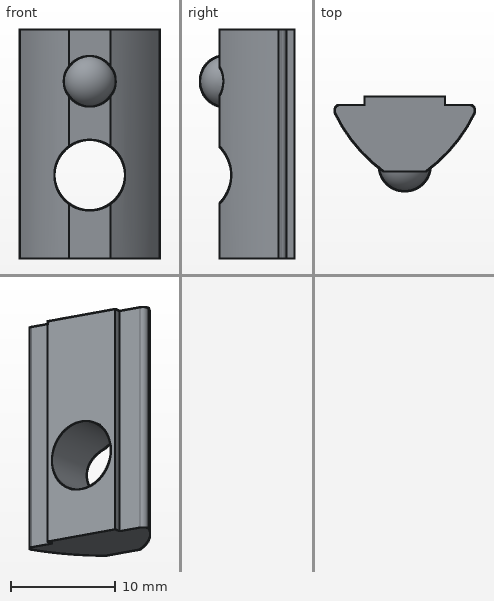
import cadquery as cq

length = 22.0
width = 13.46
depth = 7.22
rail_width = 7.77
rail_height = 0.8
corner_radius = 0.5
side_edge_depth = 1.55
nose_width = 4.0
flank_x = 5.48
flank_depth = 3.7

hole_diameter = 6.75
hole_z = 8.0

ball_radius = 2.5
ball_z = 17.0
ball_projection = 1.9

shoulder_y = depth - rail_height
ball_y = ball_radius - ball_projection


def make_ball():
    return cq.Workplane("XY").sphere(ball_radius).translate((0, ball_y, ball_z))


def make_profile():
    half_width = width / 2
    half_rail = rail_width / 2
    half_nose = nose_width / 2
    side_end = (half_width, depth - side_edge_depth)
    flank_y = depth - flank_depth
    return (
        cq.Workplane("XY")
        .moveTo(-half_nose, 0)
        .lineTo(half_nose, 0)
        .threePointArc((flank_x, flank_y), side_end)
        .lineTo(half_width, shoulder_y)
        .lineTo(half_rail, shoulder_y)
        .lineTo(half_rail, depth)
        .lineTo(-half_rail, depth)
        .lineTo(-half_rail, shoulder_y)
        .lineTo(-half_width, shoulder_y)
        .lineTo(-half_width, side_end[1])
        .threePointArc((-flank_x, flank_y), (-half_nose, 0))
        .close()
    )


def make_nut():
    nut = make_profile().extrude(length)

    for side in (-1, 1):
        corner = (side * width / 2, shoulder_y, length / 2)
        nut = nut.edges(cq.selectors.NearestToPointSelector(corner)).fillet(corner_radius)

    bore = (
        cq.Workplane("XZ", origin=(0, depth, 0))
        .center(0, hole_z)
        .circle(hole_diameter / 2)
        .extrude(depth)
    )
    nut = nut.cut(bore)

    return nut.cut(make_ball())


nut = make_nut()
ball = make_ball()

result = cq.Compound.makeCompound([nut.solids().val(), ball.val()])